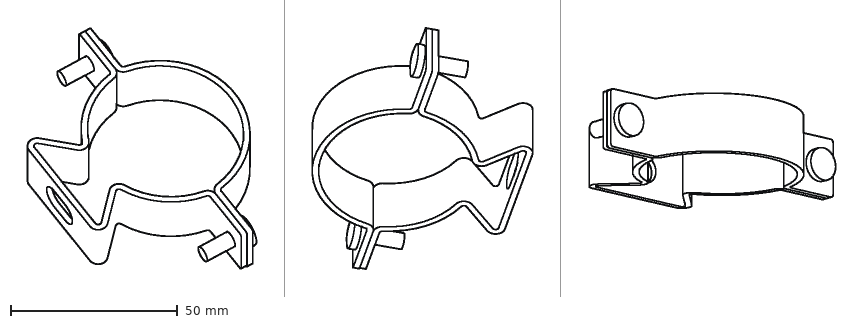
import cadquery as cq
import math


overall_length = 89.0
strip_width = 18.0
thickness = 2.0
ring_inner_radius = 25.0
bend_radius = 1.0
flange_reach = 44.3
corner_radius = 1.0
neck_bend_x = 10.9
foot_height = 38.0
leg_angle = 45.0
slot_length = 14.0
slot_width = 8.0
screw_x = 38.45
shank_diameter = 5.0
shank_tip_y = -11.9
head_diameter = 10.0
head_side_height = 2.1
head_dome_height = 0.9
head_side_bulge = 0.1

ring_outer_radius = ring_inner_radius + thickness
long_flange_reach = overall_length - flange_reach
bend_outer_radius = bend_radius + thickness
bend_to_ring = ring_outer_radius + bend_radius

ring_centre = (0.0, -thickness)
flange_bend_y = thickness + bend_radius
flange_bend = (-math.sqrt(bend_to_ring**2 - (flange_bend_y - ring_centre[1])**2), flange_bend_y)
neck_bend = (-neck_bend_x, ring_centre[1] + math.sqrt(bend_to_ring**2 - neck_bend_x**2))
foot_bend_y = foot_height - bend_outer_radius
leg_normal = (math.sin(math.radians(leg_angle)), math.cos(math.radians(leg_angle)))
leg_offset = bend_radius + bend_outer_radius
foot_bend_x = neck_bend[0] + (leg_offset - leg_normal[1] * (foot_bend_y - neck_bend[1])) / leg_normal[0]
foot_bend = (foot_bend_x, foot_bend_y)


def direction(start, end):
    """Angle in degrees of the line from start to end."""
    return math.degrees(math.atan2(end[1] - start[1], end[0] - start[0]))


def point_on(centre, radius, angle):
    return (
        centre[0] + radius * math.cos(math.radians(angle)),
        centre[1] + radius * math.sin(math.radians(angle)),
    )


def mirrored(arcs):
    """The same arcs on the +X side, in the order that continues the path."""
    return [((-c[0], c[1]), r, 180 - end, 180 - start) for c, r, start, end in reversed(arcs)]


def backwards(arcs):
    return [(c, r, end, start) for c, r, start, end in reversed(arcs)]


def flange_arc(depth):
    """Bend from flange to ring, on the face that lies `depth` below the outer face."""
    return (flange_bend, bend_radius + depth, -90, direction(flange_bend, ring_centre))


def upper_face(depth):
    """Face of the plain half, from the -X flange to the +X flange."""
    start = direction(ring_centre, flange_bend)
    ring = (ring_centre, ring_outer_radius - depth, start, 180 - start)
    bend = [flange_arc(depth)]
    return bend + [ring] + mirrored(bend)


def footed_face(depth):
    """Face of the half whose ring opens into a dovetail foot."""
    ring_start = direction(ring_centre, flange_bend)
    ring_end = direction(ring_centre, neck_bend)
    leg_side = 90 - leg_angle
    side = [
        flange_arc(depth),
        (ring_centre, ring_outer_radius - depth, ring_start, ring_end),
        (neck_bend, bend_radius + depth, ring_end - 180, leg_side),
        (foot_bend, bend_outer_radius - depth, leg_side + 180, 90),
    ]
    return side + mirrored(side)


def trace(sketch, arcs):
    """Draw the arcs in turn, with a straight line wherever two do not meet."""
    touching = 8.9e-07
    position = None
    for centre, radius, start, end in arcs:
        first = point_on(centre, radius, start)
        if position is None or math.dist(position, first) > touching:
            sketch = sketch.lineTo(*first)
        position = point_on(centre, radius, end)
        sketch = sketch.threePointArc(point_on(centre, radius, (start + end) / 2), position)
    return sketch


def bent_strip(face, right_reach):
    """Strip between its outer and inner face, with rounded flange ends and screw holes."""
    sketch = cq.Workplane("XY", origin=(0, 0, -strip_width / 2)).moveTo(-flange_reach, thickness)
    sketch = trace(sketch, face(0))
    sketch = sketch.lineTo(right_reach, thickness).lineTo(right_reach, 0)
    sketch = trace(sketch, backwards(face(thickness)))
    strip = sketch.lineTo(-flange_reach, 0).close().extrude(strip_width)
    for end in ("<X", ">X"):
        strip = strip.faces(end).edges("|Y").fillet(corner_radius)
    holes = (
        cq.Workplane("XZ")
        .pushPoints([(-screw_x, 0), (screw_x, 0)])
        .circle(shank_diameter / 2)
        .extrude(-thickness)
    )
    return strip.cut(holes)


def make_upper_half():
    return bent_strip(upper_face, long_flange_reach)


def make_footed_half():
    half = bent_strip(footed_face, flange_reach).mirror("XZ")
    slot = (
        cq.Workplane("XZ", origin=(0, thickness - foot_height, 0))
        .slot2D(slot_length, slot_width)
        .extrude(thickness)
    )
    return half.cut(slot)


def make_screw(x):
    """Pan-head screw along -Y, its head with bulging side and domed top on the upper flange."""
    shank_radius = shank_diameter / 2
    head_radius = head_diameter / 2
    side_middle = (head_radius + head_side_bulge, thickness + head_side_height / 2)
    dome_edge_y = thickness + head_side_height
    dome_top_y = dome_edge_y + head_dome_height
    dome_radius = (head_radius**2 + head_dome_height**2) / (2 * head_dome_height)
    half_angle = math.degrees(math.asin(head_radius / dome_radius))
    dome_middle = point_on((0, dome_top_y - dome_radius), dome_radius, 90 - half_angle / 2)
    return (
        cq.Workplane("XY")
        .moveTo(0, shank_tip_y)
        .lineTo(shank_radius, shank_tip_y)
        .lineTo(shank_radius, thickness)
        .lineTo(head_radius, thickness)
        .threePointArc(side_middle, (head_radius, dome_edge_y))
        .threePointArc(dome_middle, (0, dome_top_y))
        .close()
        .revolve(360, (0, 0, 0), (0, 1, 0))
        .translate((x, 0, 0))
    )


upper_half = make_upper_half()
footed_half = make_footed_half()
screws = [make_screw(x) for x in (-screw_x, screw_x)]

result = cq.Compound.makeCompound(
    [upper_half.val(), footed_half.val(), *[screw.val() for screw in screws]]
)